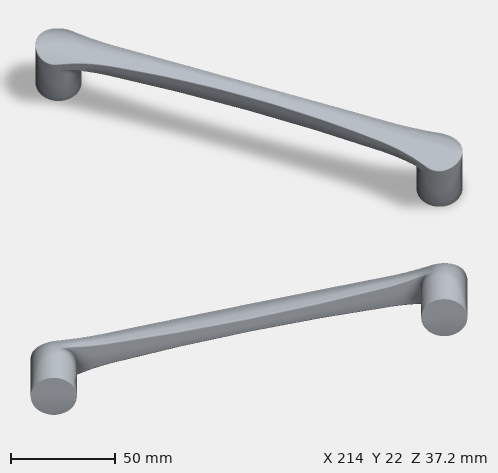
import cadquery as cq
import math

length = 214.0
height = 37.2
end_height = 30.4
post_diameter = 22.0
waist_half_width = 4.0
flare_x = 69.0
flare_half_width = 6.2
underside_z = 25.3
underside_end_z = 21.8
crown_radius = 23.5
top_edge_radius = 0.5
bottom_edge_radius = 0.9

post_radius = post_diameter / 2
post_x = length / 2 - post_radius
post_inner_x = post_x - post_radius

flare_angle = 2 * math.atan2(flare_half_width - waist_half_width, flare_x)
offset_x = flare_x - post_x
offset_along_normal = flare_half_width * math.cos(flare_angle) - offset_x * math.sin(flare_angle)
flare_radius = (offset_x**2 + flare_half_width**2 - post_radius**2) / (
    2 * (post_radius - offset_along_normal)
)
flare_center_x = flare_x - flare_radius * math.sin(flare_angle)
flare_center_y = flare_half_width + flare_radius * math.cos(flare_angle)
blend_angle = math.atan2(post_x - flare_center_x, flare_center_y)
blend_x = post_x - post_radius * math.sin(blend_angle)
blend_y = post_radius * math.cos(blend_angle)

rise = height - end_height
arch_radius = ((length / 2) ** 2 + rise**2) / (2 * rise)


def bar_outline():
    """Waisted plan outline between the two posts."""
    mid_angle = (flare_angle + blend_angle) / 2
    mid_x = flare_center_x + flare_radius * math.sin(mid_angle)
    mid_y = flare_center_y - flare_radius * math.cos(mid_angle)
    return (
        cq.Workplane("XY")
        .moveTo(-blend_x, blend_y)
        .threePointArc((-mid_x, mid_y), (-flare_x, flare_half_width))
        .threePointArc((0, waist_half_width), (flare_x, flare_half_width))
        .threePointArc((mid_x, mid_y), (blend_x, blend_y))
        .lineTo(blend_x, -blend_y)
        .threePointArc((mid_x, -mid_y), (flare_x, -flare_half_width))
        .threePointArc((0, -waist_half_width), (-flare_x, -flare_half_width))
        .threePointArc((-mid_x, -mid_y), (-blend_x, -blend_y))
        .close()
    )


def bar_side():
    """Lengthwise section: flat underside curving down into the posts."""
    run = blend_x - post_inner_x
    drop = underside_z - underside_end_z
    radius = (run**2 + drop**2) / (2 * drop)
    half_angle = math.asin(run / radius) / 2
    mid_x = post_inner_x + radius * math.sin(half_angle)
    mid_z = underside_z - radius * (1 - math.cos(half_angle))
    return (
        cq.Workplane("XZ")
        .moveTo(-blend_x, underside_end_z)
        .threePointArc((-mid_x, mid_z), (-post_inner_x, underside_z))
        .lineTo(post_inner_x, underside_z)
        .threePointArc((mid_x, mid_z), (blend_x, underside_end_z))
        .lineTo(blend_x, height)
        .lineTo(-blend_x, height)
        .close()
        .extrude(post_radius, both=True)
    )


def crown_envelope():
    """Solid under the top face: a crowned section turned about a Y axis."""
    half_width = post_diameter
    edge_radius = arch_radius - crown_radius + math.sqrt(crown_radius**2 - half_width**2)
    return (
        cq.Workplane("XY")
        .lineTo(0, -half_width)
        .lineTo(edge_radius, -half_width)
        .threePointArc((arch_radius, 0), (edge_radius, half_width))
        .lineTo(0, half_width)
        .close()
        .revolve(360, (0, 0), (0, 1))
        .translate((0, 0, height - arch_radius))
    )


bar = bar_outline().extrude(height).intersect(bar_side())
below_waist = cq.selectors.BoxSelector(
    (-flare_x, -post_radius, underside_z - bottom_edge_radius),
    (flare_x, post_radius, underside_z + bottom_edge_radius),
)
bar = bar.edges(below_waist).edges("not #X").fillet(bottom_edge_radius)

posts = (
    cq.Workplane("XY")
    .pushPoints([(-post_x, 0), (post_x, 0)])
    .circle(post_radius)
    .extrude(height)
)

result = bar.union(posts).intersect(crown_envelope())
top_face = result.faces(cq.selectors.NearestToPointSelector((0, 0, height)))
result = top_face.edges().fillet(top_edge_radius)